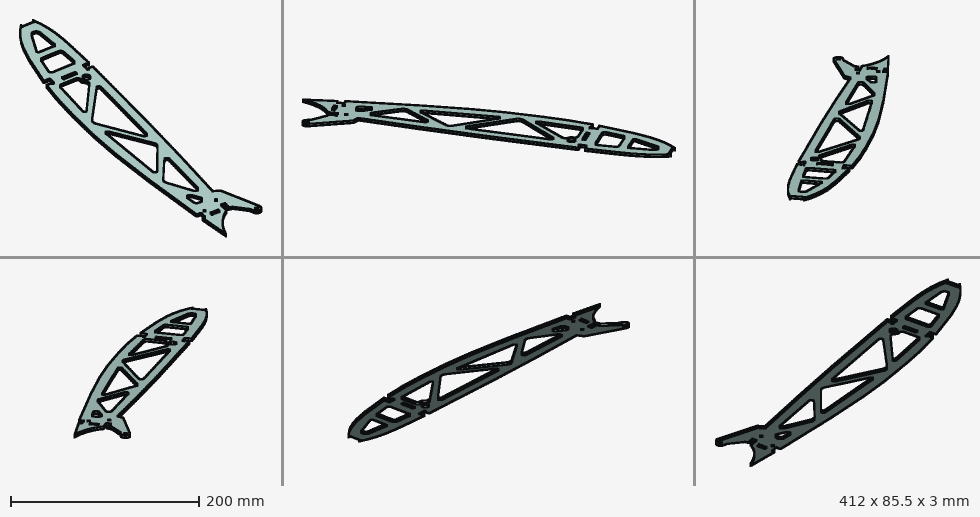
import cadquery as cq
import math

length = 412.0
thickness = 3.0

nose_top = 49.5
nose_bottom = 34.5
nose_recess = 3.0

front_notch_left = 92.0
front_notch_right = 99.3
upper_edge_y = 61.5
upper_notch_floor = 54.0
lower_notch_floor = 12.0
lower_edge_left_y = 4.5
lower_edge_right_y = 3.5
relief_width = 1.2
relief_height = 2.0

fin_root = (343.5, 56.5)
fin_shoulder = (346.8, 64.0)
fin_tip_center = (393.0, 80.5)
fin_tip_radius = 5.0
fin_edge_direction = math.radians(24.5)
fin_lower_end = (390.0, 73.7)
fin_heel = (377.0, 60.0)
slit_left = 367.5
slit_right = 375.5
slit_top = 56.5
slit_bottom = 51.5
slit_lip = 54.8
tail_top_x = 378.5
tail_tip_y = 29.5
rear_notch_left = 367.5
rear_notch_right = 375.5
rear_notch_floor = 26.5
rear_notch_left_end = 21.0
rear_notch_right_end = 23.0

round_holes = [
    (110.8, 46.0, 4.0),
    (358.0, 51.5, 1.2),
    (366.5, 31.5, 1.2),
    (*fin_tip_center, 1.5),
]

slots = [
    (97.0, front_notch_right + relief_width, 24.5, 40.8),
    (372.7, 376.0, 35.0, 44.5),
]

windows = [
    [(1.0, 43.0, 5.0), (48.5, 47.5, 2.0), (48.5, 24.0, 2.0)],
    [(58.5, 48.0, 3.5), (84.5, 50.0, 3.5), (84.5, 17.0, 3.5), (58.5, 21.5, 3.5)],
    [(106.5, 14.0, 3.7), (106.5, 39.0, 3.7), (113.5, 39.0, 3.7), (117.5, 43.2, 1.2),
     (121.0, 43.2, 1.5), (163.5, 12.0, 2.0)],
    [(125.5, 50.2, 2.5), (233.5, 49.0, 3.0), (177.5, 10.0, 7.0)],
    [(193.5, 12.5, 2.0), (245.5, 49.5, 5.5), (289.0, 21.0, 2.5)],
    [(263.5, 47.0, 3.0), (341.5, 45.7, 3.5), (302.0, 20.5, 6.5)],
    [(324.0, 25.0, 3.5), (351.7, 44.0, 4.5), (351.7, 30.0, 3.7)],
]


def polar(center, radius, angle):
    return (center[0] + radius * math.cos(angle), center[1] + radius * math.sin(angle))


def plate():
    """Extruded outline, drawn clockwise from the upper nose point."""
    fin_tangent = polar(fin_tip_center, fin_tip_radius, fin_edge_direction + math.pi / 2)
    fin_outermost = polar(fin_tip_center, fin_tip_radius, 0)
    fin_arc_end = polar(fin_tip_center, fin_tip_radius, -math.pi / 3)
    outline = (
        cq.Workplane("XY")
        .moveTo(0, nose_top)
        .spline([(16.0, 55.0), (52.5, 60.0), (front_notch_left, upper_edge_y)], includeCurrent=True)
        .lineTo(front_notch_left, upper_notch_floor)
        .lineTo(front_notch_right, upper_notch_floor)
        .lineTo(front_notch_right, upper_edge_y)
        .spline([(186.0, 61.0), (251.2, 59.7), fin_root], includeCurrent=True)
        .lineTo(*fin_shoulder)
        .lineTo(*fin_tangent)
        .threePointArc(fin_outermost, fin_arc_end)
        .lineTo(*fin_lower_end)
        .lineTo(*fin_heel)
        .lineTo(slit_right, slit_lip)
        .lineTo(slit_right, slit_top)
        .lineTo(slit_left, slit_top)
        .lineTo(slit_left, slit_bottom)
        .lineTo(tail_top_x, slit_bottom)
        .spline([(387.5, 41.0), (398.0, 34.5), (length, tail_tip_y)], includeCurrent=True)
        .lineTo(rear_notch_right, rear_notch_right_end)
        .lineTo(rear_notch_right, rear_notch_floor)
        .lineTo(rear_notch_left, rear_notch_floor)
        .lineTo(rear_notch_left, rear_notch_left_end)
        .spline([(321.5, 14.0), (263.5, 6.0), (212.0, 1.2), (158.5, 0), (126.5, 1.0),
                 (front_notch_right, lower_edge_right_y)], includeCurrent=True)
        .lineTo(front_notch_right, lower_notch_floor)
        .lineTo(front_notch_left, lower_notch_floor)
        .lineTo(front_notch_left, lower_edge_left_y)
        .spline([(47.8, 12.5), (16.0, 23.5), (0, nose_bottom)], includeCurrent=True)
        .lineTo(nose_recess, nose_bottom)
        .lineTo(nose_recess, nose_top)
        .close()
    )
    return outline.extrude(thickness)


def window_cutter(corners):
    """Prism over a polygon whose corners each have their own radius."""
    cutter = cq.Workplane("XY").polyline([(x, y) for x, y, _ in corners]).close().extrude(thickness)
    for x, y, radius in corners:
        nearest_edge = cq.selectors.NearestToPointSelector((x, y, thickness / 2))
        cutter = cutter.edges("|Z").edges(nearest_edge).fillet(radius)
    return cutter


def box_cutter(left, right, bottom, top):
    width = right - left
    height = top - bottom
    return cq.Workplane("XY").box(width, height, thickness, centered=False).translate((left, bottom, 0))


def hole_cutter(x, y, radius):
    return cq.Workplane("XY").center(x, y).circle(radius).extrude(thickness)


relief_right = front_notch_right + relief_width
reliefs = [
    (front_notch_right, relief_right, upper_notch_floor, upper_notch_floor + relief_height),
    (front_notch_right, relief_right, lower_notch_floor - relief_height, lower_notch_floor),
]

result = plate()
for corners in windows:
    result = result.cut(window_cutter(corners))
for limits in slots + reliefs:
    result = result.cut(box_cutter(*limits))
for hole in round_holes:
    result = result.cut(hole_cutter(*hole))